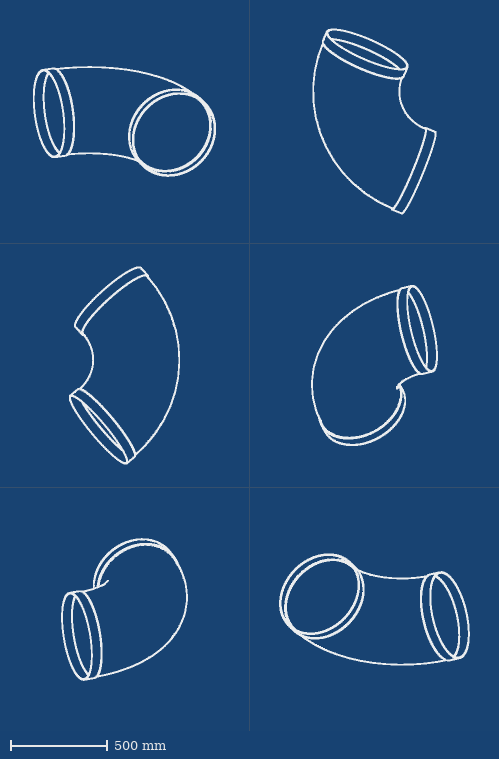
import cadquery as cq

overall = 735.0
pipe_diameter = 450.0
wall = 5.0
collar_length = 55.0
seat_length = 2.0

pipe_radius = pipe_diameter / 2
bore_radius = pipe_radius - wall
collar_radius = pipe_radius + wall
bend_radius = overall - collar_radius - collar_length

inlet = cq.Plane(origin=(0, 0, 0), xDir=(1, 0, 0), normal=(0, -1, 0))
outlet = cq.Plane(origin=(bend_radius, bend_radius, 0), xDir=(0, 1, 0), normal=(1, 0, 0))


def tube(plane, outer_radius, inner_radius, length):
    """Straight tube running outward from one end of the bend."""
    return cq.Workplane(plane).circle(outer_radius).circle(inner_radius).extrude(length)


result = (
    cq.Workplane(inlet)
    .circle(pipe_radius)
    .circle(bore_radius)
    .revolve(90, (bend_radius, 0), (bend_radius, -1))
)

for end in (inlet, outlet):
    result = result.union(tube(end, pipe_radius, bore_radius, seat_length))
    result = result.union(tube(end, collar_radius, pipe_radius, collar_length))